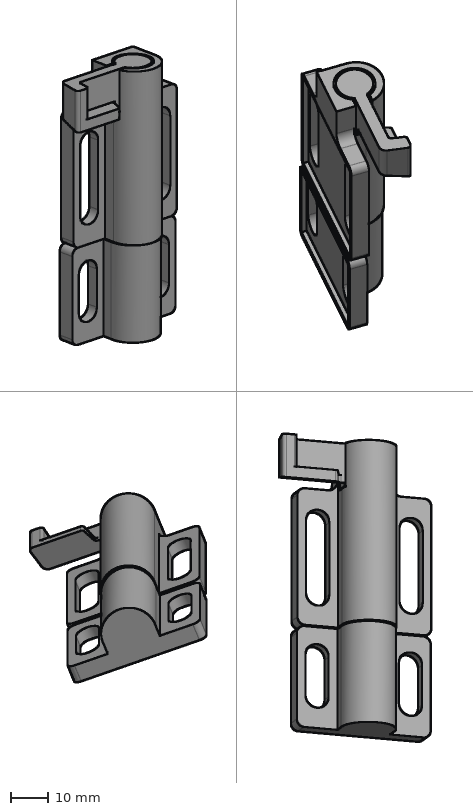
import cadquery as cq
import math


TOTAL_HEIGHT = 78.2
LEAF_GAP = 0.25
LEAF_SHIFT = 0.5

LEAF_WIDTH = 38.0
LEAF_THICKNESS = 5.0
CORNER_RADIUS = 2.0
LOWER_HEIGHT = 28.0
UPPER_HEIGHT = 37.95
RIM_WIDTH = 1.25
RECESS_DEPTH = 1.5

SLOT_WIDTH = 6.6
SLOT_SPACING = 26.5
LOWER_SLOT_LENGTH = 17.6
UPPER_SLOT_LENGTH = 26.6
LOWER_SLOT_RISE = 0.5

KNUCKLE_RADIUS = 7.5
UPPER_KNUCKLE_X = 9.0
LOWER_KNUCKLE_X = 8.5
LOWER_FLAT_END_X = 7.8
EAR_FILLET = 3.0

LEVER_AXIS_X = LOWER_KNUCKLE_X
PIN_RADIUS = 5.0
LEVER_CLEARANCE = 0.6
BAR_WIDTH = 3.6
LEVER_END_X = 15.0
LEVER_TIP_Y = -26.3
LIP_ANGLE = 11.0
LIP_LENGTH_Y = 3.9
WEB_START_Y = -9.0
WEB_ANGLE = 21.0
WEB_HEIGHT = 3.1
NECK_SETBACK = 0.15
UNDERSIDE_RISE = 1.95
OUTER_BEND_RADIUS = 2.0
INNER_BEND_RADIUS = 0.9
TIP_RADIUS = 0.9

UPPER_BASE_Z = LOWER_HEIGHT + LEAF_GAP
UPPER_PLATE_TOP_Z = UPPER_BASE_Z + UPPER_HEIGHT
LEVER_HEIGHT = TOTAL_HEIGHT - UPPER_PLATE_TOP_Z
NECK_FRONT_Y = NECK_SETBACK - KNUCKLE_RADIUS
BAR_LEFT_X = LEVER_AXIS_X - BAR_WIDTH / 2
BAR_RIGHT_X = LEVER_AXIS_X + BAR_WIDTH / 2


def box_between(x_range, y_range, z_range):
    """Axis-aligned box between two limits on each axis."""
    size = [high - low for low, high in (x_range, y_range, z_range)]
    corner = (x_range[0], y_range[0], z_range[0])
    return cq.Workplane("XY").box(*size, centered=False).translate(corner)


def mounting_plate(back_x, base_z, height):
    """Flat plate with rounded corners."""
    half_width = LEAF_WIDTH / 2
    plate = box_between(
        (back_x, back_x + LEAF_THICKNESS), (-half_width, half_width), (base_z, base_z + height)
    )
    return plate.edges("|X").fillet(CORNER_RADIUS)


def back_recess(back_x, base_z, height):
    """Rectangular pocket volume that leaves a narrow rim around the back of a plate."""
    half_width = LEAF_WIDTH / 2 - RIM_WIDTH
    return box_between(
        (back_x, back_x + RECESS_DEPTH),
        (-half_width, half_width),
        (base_z + RIM_WIDTH, base_z + height - RIM_WIDTH),
    )


def mounting_slots(back_x, center_z, length):
    """Cutting volumes of the two upright slots, one on each side of the knuckle."""
    return (
        cq.Workplane("YZ", origin=(back_x, 0, center_z))
        .pushPoints([(-SLOT_SPACING / 2, 0), (SLOT_SPACING / 2, 0)])
        .slot2D(length, SLOT_WIDTH, 90)
        .extrude(LEAF_THICKNESS)
    )


def knuckle(back_x, axis_x, flat_end_x, base_z, top_z):
    """Round-nosed block that reaches from the back of the plate around the hinge axis."""
    half_width = math.sqrt(KNUCKLE_RADIUS**2 - (axis_x - flat_end_x) ** 2)
    return (
        cq.Workplane("XY", origin=(0, 0, base_z))
        .moveTo(back_x, -half_width)
        .lineTo(flat_end_x, -half_width)
        .threePointArc((axis_x + KNUCKLE_RADIUS, 0), (flat_end_x, half_width))
        .lineTo(back_x, half_width)
        .close()
        .extrude(top_z - base_z)
    )


def ear_fillets():
    """Concave corner pieces between the top of the upper plate and the raised knuckle."""
    mid_arc = EAR_FILLET * (1 - math.sqrt(0.5))
    fillet = (
        cq.Workplane("YZ", origin=(LEAF_SHIFT, KNUCKLE_RADIUS, UPPER_PLATE_TOP_Z))
        .lineTo(EAR_FILLET, 0)
        .threePointArc((mid_arc, mid_arc), (0, EAR_FILLET))
        .close()
        .extrude(LEAF_THICKNESS)
    )
    return fillet.union(fillet.mirror("XZ"))


def pin_with_arm(pin_radius, arm_width, arm_end_y):
    """Round pin with a straight arm that ends at arm_end_y, as tall as the lever."""
    pin = (
        cq.Workplane("XY", origin=(LEVER_AXIS_X, 0, UPPER_PLATE_TOP_Z))
        .circle(pin_radius)
        .extrude(LEVER_HEIGHT)
    )
    arm = box_between(
        (LEVER_AXIS_X - arm_width / 2, LEVER_AXIS_X + arm_width / 2),
        (arm_end_y, 0),
        (UPPER_PLATE_TOP_Z, TOTAL_HEIGHT),
    )
    return pin.union(arm)


def lever_layer(inner_y, inner_angle, height):
    """Bent lever shape; its inner edge leaves the bar at inner_y with the given slope."""
    reach = LEVER_END_X - BAR_RIGHT_X
    inner_end_y = inner_y - reach * math.tan(math.radians(inner_angle))

    lip_slope = math.tan(math.radians(LIP_ANGLE))
    rounding_loss = TIP_RADIUS * (lip_slope + math.hypot(1, lip_slope) - 1)
    outer_end_y = LEVER_TIP_Y - rounding_loss
    outer_bend_y = outer_end_y + (LEVER_END_X - BAR_LEFT_X) * lip_slope

    layer = (
        cq.Workplane("XY", origin=(0, 0, UPPER_PLATE_TOP_Z))
        .moveTo(BAR_LEFT_X, 0)
        .lineTo(BAR_RIGHT_X, 0)
        .lineTo(BAR_RIGHT_X, inner_y)
        .lineTo(LEVER_END_X, inner_end_y)
        .lineTo(LEVER_END_X, outer_end_y)
        .lineTo(BAR_LEFT_X, outer_bend_y)
        .close()
        .extrude(height)
    )
    rounded_corners = [
        (BAR_LEFT_X, outer_bend_y, OUTER_BEND_RADIUS),
        (BAR_RIGHT_X, inner_y, INNER_BEND_RADIUS),
        (LEVER_END_X, inner_end_y, TIP_RADIUS),
        (LEVER_END_X, outer_end_y, TIP_RADIUS),
    ]
    mid_z = UPPER_PLATE_TOP_Z + height / 2
    for x, y, radius in rounded_corners:
        nearest = cq.selectors.NearestToPointSelector((x, y, mid_z))
        layer = layer.edges("|Z").edges(nearest).fillet(radius)
    return layer


def underside_wedge():
    """Wedge cut from below the lever outside the knuckle: high at the bar, zero at its end."""
    return (
        cq.Workplane("XZ", origin=(0, NECK_FRONT_Y, UPPER_PLATE_TOP_Z))
        .moveTo(BAR_LEFT_X, 0)
        .lineTo(LEVER_END_X, 0)
        .lineTo(BAR_LEFT_X, UNDERSIDE_RISE)
        .close()
        .extrude(-LEVER_TIP_Y)
    )


def lever():
    """Pin head, bar and lip, with a low web in the bend and a sloping underside."""
    inner_lip_y = LEVER_TIP_Y + LIP_LENGTH_Y + (LEVER_END_X - BAR_RIGHT_X) * math.tan(
        math.radians(LIP_ANGLE)
    )
    bar_and_lip = lever_layer(inner_lip_y, LIP_ANGLE, LEVER_HEIGHT)
    web = lever_layer(WEB_START_Y, WEB_ANGLE, WEB_HEIGHT)
    head = pin_with_arm(PIN_RADIUS, BAR_WIDTH, NECK_FRONT_Y)
    return bar_and_lip.union(web).cut(underside_wedge()).union(head)


def make_lower_leaf():
    """Plain leaf whose knuckle is as tall as its plate."""
    slot_z = LOWER_HEIGHT / 2 + LOWER_SLOT_RISE
    leaf = mounting_plate(0, 0, LOWER_HEIGHT)
    leaf = leaf.union(knuckle(0, LOWER_KNUCKLE_X, LOWER_FLAT_END_X, 0, LOWER_HEIGHT))
    leaf = leaf.cut(back_recess(0, 0, LOWER_HEIGHT))
    return leaf.cut(mounting_slots(0, slot_z, LOWER_SLOT_LENGTH))


def make_upper_leaf():
    """Leaf whose knuckle rises above its plate and carries the lever in a slotted bore."""
    slot_z = UPPER_BASE_Z + UPPER_HEIGHT / 2
    leaf = mounting_plate(LEAF_SHIFT, UPPER_BASE_Z, UPPER_HEIGHT)
    leaf = leaf.union(
        knuckle(LEAF_SHIFT, UPPER_KNUCKLE_X, UPPER_KNUCKLE_X, UPPER_BASE_Z, TOTAL_HEIGHT)
    )
    leaf = leaf.union(ear_fillets())
    leaf = leaf.cut(back_recess(LEAF_SHIFT, UPPER_BASE_Z, UPPER_HEIGHT))
    leaf = leaf.cut(mounting_slots(LEAF_SHIFT, slot_z, UPPER_SLOT_LENGTH))
    bore_radius = PIN_RADIUS + LEVER_CLEARANCE
    arm_slot_width = BAR_WIDTH + 2 * LEVER_CLEARANCE
    leaf = leaf.cut(pin_with_arm(bore_radius, arm_slot_width, -KNUCKLE_RADIUS))
    return leaf.union(lever())


lower_leaf = make_lower_leaf()
upper_leaf = make_upper_leaf()

result = cq.Compound.makeCompound([lower_leaf.val(), upper_leaf.val()])